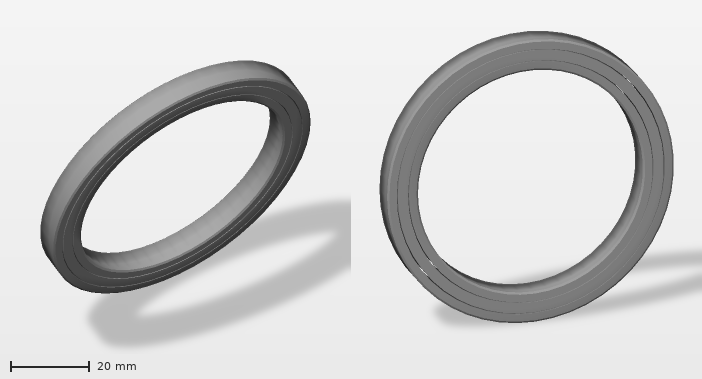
import cadquery as cq

width = 7.0
outer_diameter = 76.5
bore_diameter = 60.0

chamfer_depth = 0.36
chamfer_height = 0.505

inner_ring_outer_diameter = 65.0
seal_inner_diameter = 65.5
seal_outer_diameter = 71.0
outer_ring_inner_diameter = 71.5

half_width = width / 2
chamfered_half_width = half_width - chamfer_depth


def revolve_profile(points):
    """Turn a closed (x, radius) profile around the X axis."""
    return cq.Workplane("XY").polyline(points).close().revolve(360, (0, 0, 0), (1, 0, 0))


def make_chamfered_race(plain_diameter, chamfered_diameter, shoulder_radius):
    """Race with one plain cylindrical side and one side with chamfered rims."""
    plain_radius = plain_diameter / 2
    chamfered_radius = chamfered_diameter / 2
    return revolve_profile([
        (-half_width, plain_radius),
        (half_width, plain_radius),
        (half_width, shoulder_radius),
        (chamfered_half_width, chamfered_radius),
        (-chamfered_half_width, chamfered_radius),
        (-half_width, shoulder_radius),
    ])


def make_outer_ring():
    """Outer race, chamfered on its outside rims."""
    shoulder_radius = outer_diameter / 2 - chamfer_height
    return make_chamfered_race(outer_ring_inner_diameter, outer_diameter, shoulder_radius)


def make_inner_ring():
    """Inner race, chamfered on its bore rims."""
    shoulder_radius = bore_diameter / 2 + chamfer_height
    return make_chamfered_race(inner_ring_outer_diameter, bore_diameter, shoulder_radius)


def make_seal():
    """Plain ring between the races, flush with their faces."""
    inner_radius = seal_inner_diameter / 2
    outer_radius = seal_outer_diameter / 2
    return revolve_profile([
        (-half_width, inner_radius),
        (half_width, inner_radius),
        (half_width, outer_radius),
        (-half_width, outer_radius),
    ])


outer_ring = make_outer_ring()
inner_ring = make_inner_ring()
seal = make_seal()

result = cq.Compound.makeCompound([outer_ring.val(), inner_ring.val(), seal.val()])